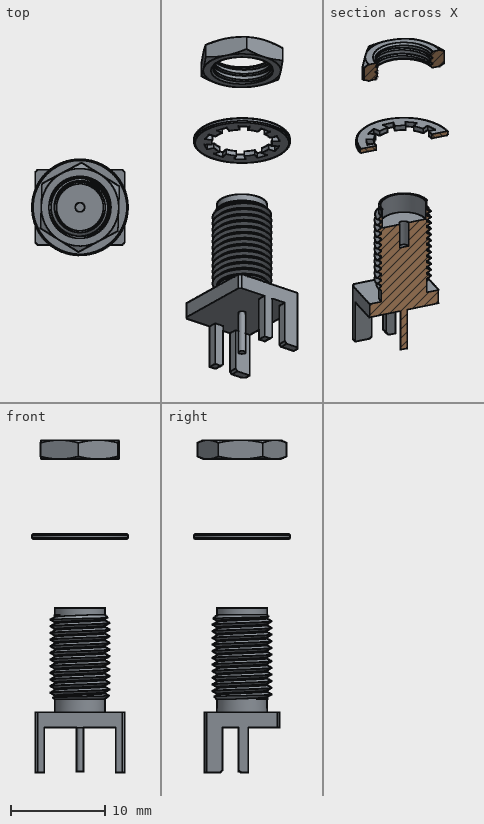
import cadquery as cq
import math

thread_pitch = 0.7
thread_half_angle = 30.0
crest_flat = 0.05
root_overlap = 0.07
thread_overrun = thread_pitch / 2

flange_width = 9.5
flange_depth = 8.0
flange_thickness = 1.65
flange_corner_chamfer = 0.28
leg_length = 4.75
leg_thickness = 1.0
front_leg_depth = 1.95
rear_leg_depth = 1.05
rear_leg_center_y = 0.15
foot_chamfer = 0.25

barrel_diameter = 5.35
barrel_top = 17.4
bore_diameter = 4.95
bore_depth = 2.18
contact_hole_diameter = 1.0
contact_hole_depth = 2.8
pin_diameter = 0.77
pin_bottom = 0.1
barrel_thread_diameter = 6.25
barrel_thread_bottom = 7.75
barrel_thread_top = 16.68
envelope_clearance = 0.15

washer_diameter = 10.2
washer_thickness = 0.55
washer_bottom = 24.7
washer_edge_chamfer = 0.15
washer_tooth_diameter = 6.4
notch_count = 10
notch_first_angle = 1.5
notch_outer_radius = 3.98
notch_outer_width = 1.23
notch_apex_radius = 1.48

nut_top = 35.18
nut_height = 2.0
nut_across_flats = 8.2
nut_turn = -2.0
nut_face_diameter = 8.2
nut_chamfer_angle = 24.0
nut_minor_diameter = 6.12
nut_mouth_diameter = 6.58
nut_thread_diameter = 6.55

flange_top = leg_length + flange_thickness
nut_bottom = nut_top - nut_height


def cylinder(diameter, bottom, top):
    """Solid cylinder on the Z axis between two heights."""
    return cq.Workplane("XY", origin=(0, 0, bottom)).circle(diameter / 2).extrude(top - bottom)


def cone(bottom_diameter, top_diameter, bottom, top):
    """Solid truncated cone on the Z axis between two heights."""
    outline = [(0, bottom), (bottom_diameter / 2, bottom), (top_diameter / 2, top), (0, top)]
    return cq.Workplane("XZ").polyline(outline).close().revolve(360, (0, 0, 0), (0, 1, 0))


def thread_ridge(core_diameter, crest_diameter, bottom, top):
    """Right-handed helical ridge of 60 degree V form standing on a core cylinder."""
    core_radius = core_diameter / 2
    crest_radius = crest_diameter / 2
    buried_radius = core_radius - root_overlap
    half_crest = crest_flat / 2
    half_root = half_crest + (crest_radius - buried_radius) * math.tan(math.radians(thread_half_angle))
    helix = cq.Wire.makeHelix(thread_pitch, top - bottom, core_radius, cq.Vector(0, 0, bottom))
    profile = [
        (buried_radius, bottom - half_root),
        (crest_radius, bottom - half_crest),
        (crest_radius, bottom + half_crest),
        (buried_radius, bottom + half_root),
    ]
    return cq.Workplane("XZ").polyline(profile).close().sweep(cq.Workplane(helix), isFrenet=True)


def cut_across_width(outline):
    """Prism with a YZ outline, as long in X as the flange is wide."""
    return cq.Workplane("YZ").polyline(outline).close().extrude(flange_width / 2, both=True)


def make_flange():
    """Rectangular plate with four legs; the front pair runs down the corners."""
    plate = cq.Workplane("XY").box(flange_width, flange_depth, flange_top, centered=(True, True, False))
    plate = plate.edges("|Z").chamfer(flange_corner_chamfer)

    inner_width = flange_width - 2 * leg_thickness
    front_leg_back = -flange_depth / 2 + front_leg_depth
    rear_leg_front = rear_leg_center_y - rear_leg_depth / 2
    rear_leg_back = rear_leg_center_y + rear_leg_depth / 2
    middle_gap = cq.Workplane("XY").box(inner_width, flange_depth, leg_length, centered=(True, True, False))
    body = plate.cut(middle_gap)

    leg_gap = cut_across_width([
        (front_leg_back - foot_chamfer, 0),
        (front_leg_back, foot_chamfer),
        (front_leg_back, leg_length),
        (rear_leg_front, leg_length),
        (rear_leg_front, foot_chamfer),
        (rear_leg_front + foot_chamfer, 0),
    ])
    rear_gap = cut_across_width([
        (rear_leg_back, 0),
        (rear_leg_back, leg_length),
        (flange_depth / 2, leg_length),
        (flange_depth / 2, 0),
    ])
    return body.cut(leg_gap).cut(rear_gap)


def make_barrel_thread():
    """Barrel thread, its ridge run out by a 45 degree bevel at both ends."""
    envelope_diameter = barrel_thread_diameter + envelope_clearance
    bevel = (envelope_diameter - barrel_diameter) / 2
    envelope = cylinder(envelope_diameter, barrel_thread_bottom, barrel_thread_top)
    envelope = envelope.faces("<Z or >Z").chamfer(bevel)
    ridge_bottom = barrel_thread_bottom - thread_overrun
    ridge_top = barrel_thread_top + thread_overrun
    ridge = thread_ridge(barrel_diameter, barrel_thread_diameter, ridge_bottom, ridge_top)
    return ridge.intersect(envelope)


def make_connector():
    """Flange, legs, bored threaded barrel and solder pin as one solid."""
    barrel = cylinder(barrel_diameter, flange_top, barrel_top)
    bore_floor = barrel_top - bore_depth
    body = make_flange().union(barrel).union(make_barrel_thread())
    body = body.cut(cylinder(bore_diameter, bore_floor, barrel_top))
    body = body.cut(cylinder(contact_hole_diameter, bore_floor - contact_hole_depth, bore_floor))
    return body.union(cylinder(pin_diameter, pin_bottom, leg_length))


def make_washer():
    """Flat ring with inward teeth left between tapered notches."""
    washer_top = washer_bottom + washer_thickness
    washer = cylinder(washer_diameter, washer_bottom, washer_top).edges().chamfer(washer_edge_chamfer)
    washer = washer.cut(cylinder(washer_tooth_diameter, washer_bottom, washer_top))
    notch = (
        cq.Workplane("XY", origin=(0, 0, washer_bottom))
        .moveTo(notch_apex_radius, 0)
        .lineTo(notch_outer_radius, -notch_outer_width / 2)
        .lineTo(notch_outer_radius, notch_outer_width / 2)
        .close()
        .extrude(washer_thickness)
    )
    for i in range(notch_count):
        angle = notch_first_angle + i * 360 / notch_count
        washer = washer.cut(notch.rotate((0, 0, 0), (0, 0, 1), angle))
    return washer


def make_nut():
    """Hexagon nut with coned corners and a threaded, countersunk hole."""
    across_corners = nut_across_flats / math.cos(math.radians(30))
    nut = (
        cq.Workplane("XY", origin=(0, 0, nut_bottom))
        .polygon(6, across_corners)
        .extrude(nut_height)
        .rotate((0, 0, 0), (0, 0, 1), 90 + nut_turn)
    )
    chamfer_height = (across_corners - nut_face_diameter) / 2 * math.tan(math.radians(nut_chamfer_angle))
    lower = cone(nut_face_diameter, across_corners, nut_bottom, nut_bottom + chamfer_height)
    middle = cylinder(across_corners, nut_bottom + chamfer_height, nut_top - chamfer_height)
    upper = cone(across_corners, nut_face_diameter, nut_top - chamfer_height, nut_top)
    nut = nut.intersect(lower.union(middle).union(upper))

    tap_bottom = nut_bottom - thread_overrun
    tap_top = nut_top + thread_overrun
    tap = cylinder(nut_minor_diameter, tap_bottom, tap_top)
    tap = tap.union(thread_ridge(nut_minor_diameter, nut_thread_diameter, tap_bottom, tap_top))
    nut = nut.cut(tap)

    mouth_depth = (nut_mouth_diameter - nut_minor_diameter) / 2
    nut = nut.cut(cone(nut_mouth_diameter, nut_minor_diameter, nut_bottom, nut_bottom + mouth_depth))
    return nut.cut(cone(nut_minor_diameter, nut_mouth_diameter, nut_top - mouth_depth, nut_top))


connector = make_connector()
washer = make_washer()
nut = make_nut()
result = cq.Compound.makeCompound([connector.val(), washer.val(), nut.val()])